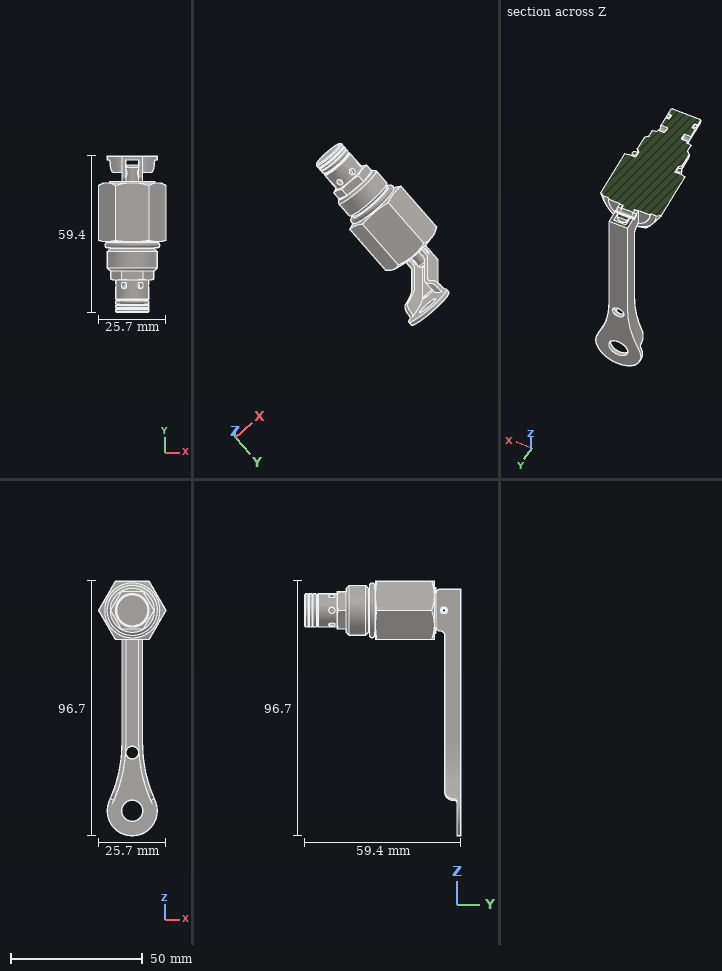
import cadquery as cq
import math


lever_width = 7.92
sheet = 1.52
slot_width = lever_width - 2 * sheet
channel_depth = 6.2
head_depth = 9.5
head_top = 8.1
head_bottom = -7.9
ear_radius = 1.6
eye_diameter = 19.05
eye_hole_diameter = 7.92
drain_hole_diameter = 4.75
drain_hole_z = -54.0
flare_radius = 50.8
wall_end_radius = 3.3
wall_foot_radius = 1.2
wall_setback = 0.6

pin_diameter = 2.02
pin_bore_diameter = 1.2
pin_hole_diameter = 2.36
pin_depth = 6.47
stem_cross_hole_diameter = 2.7

overall_depth = 59.42
overall_height = 96.74
hex_start = 10.1
hex_end = 32.45
body_start = 35.1
body_end = 43.6
nut_end = 47.0

overall_width = 25.66
hex_flats = overall_width * math.cos(math.radians(30))
nut_flats = 14.29
stem_diameter = 4.8
stem_tip_depth = 3.3
stem_tip_length = 0.9
stem_tip_diameter = 4.0
collar_diameter = 17.45
neck_diameter = 16.75
body_diameter = 19.05
body_chamfer = (body_diameter - neck_diameter) / 2
hex_back_chamfer = 1.0
hex_front_chamfer = 0.5
nut_chamfer = 0.35

nose_diameter = 12.7
nose_tip_chamfer = 0.45
groove_diameter = 9.83
groove_back = overall_depth - 4.95
groove_front = overall_depth - 3.1
land_groove_depth = overall_depth - 1.6
land_chamfer = 0.3
land_chamfer_drop = 0.15
port_diameter = 2.36
port_depth = 2.8
port_position = 49.05
port_count = 6

large_ring_section = 2.08
small_ring_section = 1.48
small_ring_position = overall_depth - 3.88

lever_bottom = hex_flats / 2 - overall_height
eye_radius = eye_diameter / 2
eye_z = lever_bottom + eye_radius
flare_center_x = lever_width / 2 + flare_radius
flare_rise = math.sqrt((flare_radius + eye_radius) ** 2 - flare_center_x ** 2)
flare_z = eye_z + flare_rise
flare_end_angle = math.atan2(flare_rise, flare_center_x)
wall_end_angle = flare_end_angle - wall_setback / flare_radius


def flare_point(radius, angle, side):
    """Point on a flare arc; angle 0 is the upper end, tangent to the straight channel."""
    x = flare_center_x - radius * math.cos(angle)
    return side * x, flare_z - radius * math.sin(angle)


def facing_front(depth=0):
    """XZ workplane at a depth, extruding towards -Y."""
    return cq.Workplane("XZ", origin=(0, -depth, 0))


def revolve_about_axis(points):
    """Solid of revolution about the Y axis from (radius, depth) points."""
    outline = [(radius, -depth) for radius, depth in points]
    return cq.Workplane("XY").polyline(outline).close().revolve(360, (0, 0, 0), (0, 1, 0))


def ring(inner_diameter, section, depth):
    center = inner_diameter / 2 + section / 2
    profile = cq.Workplane("XY").center(center, -depth).circle(section / 2)
    return profile.revolve(360, (-center, 0, 0), (-center, 1, 0))


def chamfered_hex(flats, start, end, start_chamfer, end_chamfer):
    """Hexagonal prism with corners on +-X, turned down at its ends to the inscribed circle."""
    corners = flats / math.cos(math.radians(30))
    prism = facing_front(start).polygon(6, corners).extrude(end - start)
    turned = revolve_about_axis([
        (0, start),
        (flats / 2, start),
        (corners / 2, start + start_chamfer),
        (corners / 2, end - end_chamfer),
        (flats / 2, end),
        (0, end),
    ])
    return prism.intersect(turned)


def make_lever_plate():
    tangent = flare_point(flare_radius, flare_end_angle, 1)
    middle = flare_point(flare_radius, flare_end_angle / 2, 1)
    half = lever_width / 2
    return (
        facing_front()
        .moveTo(-half, head_top)
        .lineTo(half, head_top)
        .lineTo(half, flare_z)
        .threePointArc(middle, tangent)
        .threePointArc((0, lever_bottom), (-tangent[0], tangent[1]))
        .threePointArc((-middle[0], middle[1]), (-half, flare_z))
        .close()
        .extrude(sheet)
    )


def make_lever_wall(side):
    outer = flare_radius
    inner = flare_radius + sheet
    outer_x = side * lever_width / 2
    inner_x = side * slot_width / 2
    channel = (
        facing_front()
        .moveTo(outer_x, head_top)
        .lineTo(outer_x, flare_z)
        .threePointArc(
            flare_point(outer, wall_end_angle / 2, side),
            flare_point(outer, wall_end_angle, side),
        )
        .lineTo(*flare_point(inner, wall_end_angle, side))
        .threePointArc(flare_point(inner, wall_end_angle / 2, side), (inner_x, flare_z))
        .lineTo(inner_x, head_top)
        .close()
        .extrude(channel_depth)
    )
    end_x, end_z = flare_point((outer + inner) / 2, wall_end_angle, side)
    end_edge = cq.selectors.NearestToPointSelector((end_x, -channel_depth, end_z))
    channel = channel.edges(end_edge).fillet(wall_end_radius)

    ear = (
        cq.Workplane("YZ", origin=(min(outer_x, inner_x), 0, 0))
        .moveTo(0, head_top)
        .lineTo(-head_depth + ear_radius, head_top)
        .radiusArc((-head_depth, head_top - ear_radius), -ear_radius)
        .lineTo(-head_depth, head_bottom + ear_radius)
        .radiusArc((-head_depth + ear_radius, head_bottom), -ear_radius)
        .lineTo(-channel_depth - ear_radius, head_bottom)
        .radiusArc((-channel_depth, head_bottom - ear_radius), ear_radius)
        .lineTo(0, head_bottom - ear_radius)
        .close()
        .extrude(sheet)
    )
    return channel.union(ear)


def make_lever():
    lever = make_lever_plate()
    for side in (-1, 1):
        lever = lever.union(make_lever_wall(side))
        foot_x, foot_z = flare_point(flare_radius + sheet / 2, wall_end_angle, side)
        foot_edge = cq.selectors.NearestToPointSelector((foot_x, -sheet, foot_z))
        lever = lever.edges(foot_edge).fillet(wall_foot_radius)
    for z, diameter in ((eye_z, eye_hole_diameter), (drain_hole_z, drain_hole_diameter)):
        lever = lever.cut(facing_front().center(0, z).circle(diameter / 2).extrude(sheet))
    return lever.cut(cross_cylinder(pin_hole_diameter))


def cross_cylinder(diameter):
    """Cylinder on the hinge axis, as long as the lever is wide."""
    plane = cq.Workplane("YZ", origin=(-lever_width / 2, -pin_depth, 0))
    return plane.circle(diameter / 2).extrude(lever_width)


def make_pin():
    return cross_cylinder(pin_diameter).cut(cross_cylinder(pin_bore_diameter))


def make_stem():
    radius = stem_diameter / 2
    stem = revolve_about_axis([
        (0, stem_tip_depth),
        (stem_tip_diameter / 2, stem_tip_depth),
        (radius, stem_tip_depth + stem_tip_length),
        (radius, hex_start),
        (0, hex_start),
    ])
    return stem.cut(cross_cylinder(stem_cross_hole_diameter))


def make_threaded_body():
    neck = neck_diameter / 2
    return revolve_about_axis([
        (0, hex_end),
        (neck, hex_end),
        (neck, body_start),
        (body_diameter / 2, body_start + body_chamfer),
        (body_diameter / 2, body_end - body_chamfer),
        (neck, body_end),
        (0, body_end),
    ])


def make_nose():
    land = nose_diameter / 2
    edge = land - land_chamfer_drop
    floor = groove_diameter / 2
    nose = revolve_about_axis([
        (0, nut_end),
        (land, nut_end),
        (land, groove_back - land_chamfer),
        (edge, groove_back),
        (floor, groove_back),
        (floor, groove_front),
        (edge, groove_front),
        (land, groove_front + land_chamfer),
        (land, land_groove_depth - land_chamfer),
        (edge, land_groove_depth),
        (land, land_groove_depth + land_chamfer),
        (land, overall_depth - nose_tip_chamfer),
        (land - nose_tip_chamfer, overall_depth),
        (0, overall_depth),
    ])
    port = (
        cq.Workplane("YZ", origin=(land - port_depth, -port_position, 0))
        .circle(port_diameter / 2)
        .extrude(2 * port_depth)
    )
    for index in range(port_count):
        nose = nose.cut(port.rotate((0, 0, 0), (0, 1, 0), index * 360 / port_count))
    return nose


def make_housing():
    collar = facing_front(head_depth).circle(collar_diameter / 2).extrude(hex_start - head_depth)
    large_hex = chamfered_hex(hex_flats, hex_start, hex_end, hex_back_chamfer, hex_front_chamfer)
    nut = chamfered_hex(nut_flats, body_end, nut_end, 0, nut_chamfer)
    housing = make_stem()
    for section in (collar, large_hex, make_threaded_body(), nut, make_nose()):
        housing = housing.union(section)
    return housing


lever = make_lever()
pin = make_pin()
housing = make_housing()
large_ring = ring(neck_diameter, large_ring_section, (hex_end + body_start) / 2)
small_ring = ring(groove_diameter, small_ring_section, small_ring_position)

result = cq.Compound.makeCompound([
    lever.val(),
    pin.val(),
    housing.val(),
    large_ring.val(),
    small_ring.val(),
])